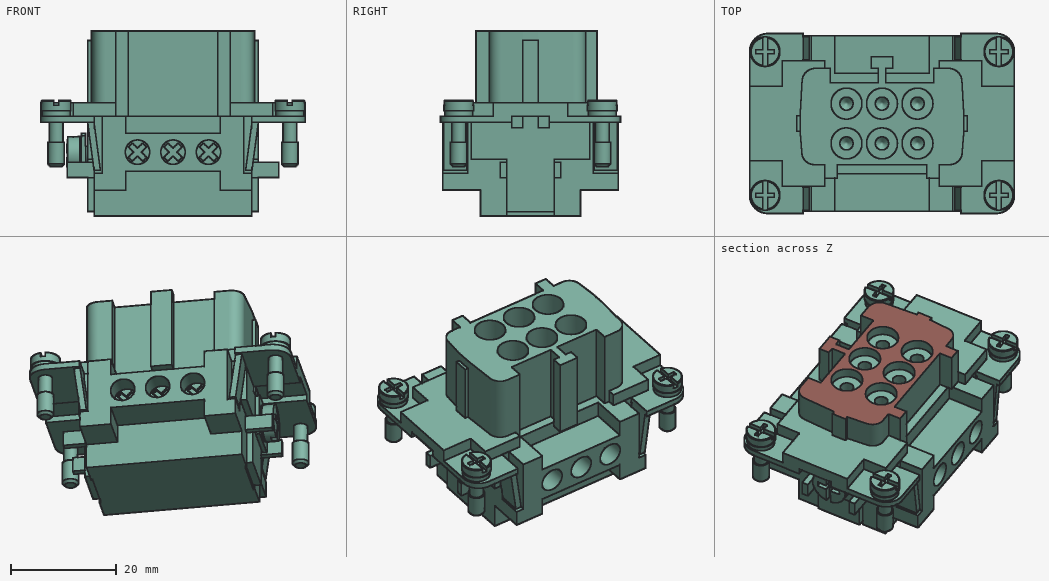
import cadquery as cq
import math

total_height = 35.0
deck_z = 18.9
flange_top_z = 21.45
step_z = 4.95

body_half_x = 14.9
body_half_y = 16.6
foot_half_y = 9.45
end_face_half_x = 16.1

window_half_x = 8.95
upper_window_z = 15.65
lower_window_z = 8.5

contact_pitch_x = 6.7
contact_row_y = 3.75
contact_bore_dia = 5.85
contact_bore_depth = 10.0
pin_hole_dia = 2.5
pin_hole_depth = 5.0
pin_tip_height = pin_hole_dia / 2

terminal_z = 12.1
terminal_dia = 4.6
terminal_depth = 4.0
terminal_slot_length = 3.8
terminal_slot_width = 1.05
terminal_slot_depth = 0.5

tower_back_y = 10.4
tower_front_y = -7.75
tower_end_half_x = 15.45
tower_corner_half_x = 14.95
tower_back_radius = 2.5
tower_front_radius = 2.3
tower_recess_half_x = 9.8
tower_recess_y = 7.7
rib_half_y = 1.45
rib_top_z = 33.2
leg_outer_x = 10.8
leg_inner_x = 8.4
leg_front_y = -10.3
key_stem_half_x = 0.75
key_head_half_x = 2.0
key_head_inner_y = 10.45
key_outer_y = 12.55

flange_half_x = 25.0
flange_waist_half_y = 7.05
flange_wing_half_x = 18.8
flange_wing_half_y = 11.85

plate_half_y = 17.0
plate_thickness = 1.2
plate_corner_radius = 3.5
plate_bottom_z = deck_z - plate_thickness
plate_notch_half_y = 3.5
panel_slot_z = 16.7
panel_half_y = 11.15
panel_bottom_z = 10.75
panel_tail_half_y = 4.5
panel_tail_z = 0.85
tail_recess_depth = 0.3

pocket_inner_x = 13.35
pocket_inner_y = 11.8
pocket_floor_z = 8.15
tongue_inner_y = 12.05
tongue_outer_y = 16.35
tongue_bottom_z = 8.65
tongue_lean = 1.2
tongue_thickness = 1.2

ear_inner_y = 4.5
ear_outer_y = 5.75
ear_end_x = 20.0
ear_bottom_z = 7.3
ear_top_z = 10.2

ground_z = 11.5
washer_side = 8.4
washer_chamfer = 0.5
washer_outer_x = 17.3
washer_thickness = 0.8
ground_head_dia = 7.1
ground_head_end_x = 19.85
ground_collar_dia = 6.9
ground_collar_length = 0.3
ground_shank_dia = 3.5
ground_dome_height = 0.25
ground_slot_width = 0.95
ground_short_slot_length = 4.7
ground_slot_depth = 1.25

screw_x = 22.05
screw_y = 13.55
screw_head_dia = 5.6
screw_collar_dia = 5.3
screw_collar_top_z = 19.95
screw_head_top_z = 21.85
screw_head_chamfer = 0.15
screw_neck_dia = 2.65
screw_thread_dia = 3.15
screw_thread_top_z = 14.0
screw_thread_bottom_z = 9.9
screw_tip_dia = 2.15
screw_tip_z = 9.35
screw_slot_floor_z = 20.95
screw_slot_width = 0.9
screw_short_slot_length = 3.5
screw_short_slot_width = 0.75

contact_columns = (-contact_pitch_x, 0, contact_pitch_x)
both_sides = (-1, 1)


def block(x0, x1, y0, y1, z0, z1):
    """Box between two opposite corners, given in either order."""
    size = (abs(x1 - x0), abs(y1 - y0), abs(z1 - z0))
    return cq.Workplane("XY").box(*size).translate(((x0 + x1) / 2, (y0 + y1) / 2, (z0 + z1) / 2))


def symmetric_block(half_x, half_y, z0, z1):
    return block(-half_x, half_x, -half_y, half_y, z0, z1)


def make_body():
    body = symmetric_block(body_half_x, foot_half_y, 0, deck_z)
    body = body.union(symmetric_block(body_half_x, body_half_y, step_z, deck_z))
    for side in both_sides:
        outer_y = side * body_half_y
        foot_y = side * foot_half_y
        window = (-window_half_x, window_half_x)
        body = body.cut(block(*window, foot_y, outer_y, upper_window_z, deck_z))
        body = body.cut(block(*window, foot_y, outer_y, step_z, lower_window_z))
        for end in both_sides:
            body = body.cut(block(end * pocket_inner_x, end * body_half_x,
                                  side * pocket_inner_y, outer_y, pocket_floor_z, deck_z))
    for end in both_sides:
        body = body.cut(block(end * (body_half_x - tail_recess_depth), end * body_half_x,
                              -panel_tail_half_y, panel_tail_half_y, 0, panel_tail_z))
    return body


def make_flange():
    waist = symmetric_block(flange_half_x, flange_waist_half_y, deck_z, flange_top_z)
    wings = symmetric_block(flange_wing_half_x, flange_wing_half_y, deck_z, flange_top_z)
    opening = symmetric_block(leg_outer_x, flange_wing_half_y, deck_z, flange_top_z)
    return waist.union(wings).cut(opening)


def make_tower():
    height = total_height - deck_z
    tower = (
        cq.Workplane("XY").workplane(offset=deck_z)
        .moveTo(-tower_corner_half_x, tower_front_y)
        .lineTo(tower_corner_half_x, tower_front_y)
        .lineTo(tower_end_half_x, -rib_half_y)
        .lineTo(tower_end_half_x, rib_half_y)
        .lineTo(tower_corner_half_x, tower_back_y)
        .lineTo(-tower_corner_half_x, tower_back_y)
        .lineTo(-tower_end_half_x, rib_half_y)
        .lineTo(-tower_end_half_x, -rib_half_y)
        .close().extrude(height)
    )
    tower = tower.edges("|Z and >Y").fillet(tower_back_radius)
    tower = tower.edges("|Z and <Y").fillet(tower_front_radius)
    tower = tower.cut(block(-tower_recess_half_x, tower_recess_half_x,
                            tower_recess_y, tower_back_y, deck_z, total_height))
    tower = tower.union(block(-key_stem_half_x, key_stem_half_x,
                              tower_recess_y, key_outer_y, deck_z, total_height))
    tower = tower.union(block(-key_head_half_x, key_head_half_x,
                              key_head_inner_y, key_outer_y, deck_z, total_height))
    for end in both_sides:
        tower = tower.union(block(end * leg_inner_x, end * leg_outer_x,
                                  leg_front_y, tower_front_y, deck_z, total_height))
    return tower.union(symmetric_block(end_face_half_x, rib_half_y, deck_z, rib_top_z))


def make_contact_holes():
    """Stepped holes with conical bottoms, as one cutting tool."""
    bore_floor_z = total_height - contact_bore_depth
    pin_floor_z = bore_floor_z - pin_hole_depth
    profile = (
        cq.Workplane("XZ").moveTo(0, total_height)
        .lineTo(contact_bore_dia / 2, total_height)
        .lineTo(contact_bore_dia / 2, bore_floor_z)
        .lineTo(pin_hole_dia / 2, bore_floor_z)
        .lineTo(pin_hole_dia / 2, pin_floor_z)
        .lineTo(0, pin_floor_z - pin_tip_height)
        .close()
    )
    hole = profile.revolve(360, (0, 0, 0), (0, 1, 0))
    holes = cq.Workplane("XY")
    for x in contact_columns:
        for side in both_sides:
            holes = holes.add(hole.translate((x, side * contact_row_y, 0)))
    return holes.combine()


def make_terminal_bores():
    """Side bores ending at a diagonal screwdriver cross, as one cutting tool."""
    floor_y = body_half_y - terminal_depth
    bore = cq.Workplane("XZ").circle(terminal_dia / 2).extrude(-terminal_depth)
    cross = cq.Workplane("XZ").rect(terminal_slot_length, terminal_slot_width).extrude(terminal_slot_depth)
    for angle in (45, -45):
        bore = bore.union(cross.rotate((0, 0, 0), (0, 1, 0), angle))
    bores = cq.Workplane("XY")
    for x in contact_columns:
        placed = bore.translate((x, floor_y, terminal_z))
        bores = bores.add(placed).add(placed.mirror("XZ"))
    return bores.combine()


def make_tongue():
    """Leaning tongue hanging from the end plate on the -X, +Y corner."""
    top_x = -body_half_x - tongue_thickness
    return (
        cq.Workplane("XZ").workplane(offset=-tongue_outer_y)
        .moveTo(top_x, plate_bottom_z)
        .lineTo(top_x + tongue_thickness, plate_bottom_z)
        .lineTo(top_x + tongue_thickness + tongue_lean, tongue_bottom_z)
        .lineTo(top_x + tongue_lean, tongue_bottom_z)
        .close().extrude(tongue_outer_y - tongue_inner_y)
    )


def make_end_plate():
    """Horizontal plate with its bent-down panel, tongues and ears, at the -X end."""
    panel_x = (-end_face_half_x, -body_half_x)
    plate = block(-flange_half_x, -body_half_x, -plate_half_y, plate_half_y, plate_bottom_z, deck_z)
    plate = plate.edges("|Z and <X").fillet(plate_corner_radius)
    plate = plate.cut(block(-flange_half_x, -end_face_half_x,
                            -plate_notch_half_y, plate_notch_half_y, plate_bottom_z, deck_z))
    plate = plate.union(block(*panel_x, -panel_half_y, panel_half_y, panel_bottom_z, deck_z))
    plate = plate.union(block(*panel_x, -panel_tail_half_y, panel_tail_half_y, panel_tail_z, deck_z))
    tongue = make_tongue()
    plate = plate.union(tongue).union(tongue.mirror("XZ"))
    for side in both_sides:
        plate = plate.cut(block(*panel_x, side * rib_half_y, side * plate_notch_half_y,
                                panel_slot_z, deck_z))
        plate = plate.union(block(-ear_end_x, -body_half_x, side * ear_inner_y, side * ear_outer_y,
                                  ear_bottom_z, ear_top_z))
    return plate


def make_fixing_screw():
    """Slotted fixing screw standing on the Z axis."""
    head_r = screw_head_dia / 2
    screw = (
        cq.Workplane("XZ").moveTo(0, screw_tip_z)
        .lineTo(screw_tip_dia / 2, screw_tip_z)
        .lineTo(screw_thread_dia / 2, screw_thread_bottom_z)
        .lineTo(screw_thread_dia / 2, screw_thread_top_z)
        .lineTo(screw_neck_dia / 2, screw_thread_top_z)
        .lineTo(screw_neck_dia / 2, deck_z)
        .lineTo(screw_collar_dia / 2, deck_z)
        .lineTo(screw_collar_dia / 2, screw_collar_top_z)
        .lineTo(head_r, screw_collar_top_z)
        .lineTo(head_r, screw_head_top_z - screw_head_chamfer)
        .lineTo(head_r - screw_head_chamfer, screw_head_top_z)
        .lineTo(0, screw_head_top_z)
        .close().revolve(360, (0, 0, 0), (0, 1, 0))
    )
    long_slot = symmetric_block(screw_slot_width / 2, head_r, screw_slot_floor_z, screw_head_top_z)
    short_slot = symmetric_block(screw_short_slot_length / 2, screw_short_slot_width / 2,
                                 screw_slot_floor_z, screw_head_top_z)
    return screw.cut(long_slot).cut(short_slot)


def make_ground_screw():
    """Domed cross-slot screw and square washer on the -X end panel."""
    axis_plane = cq.Workplane("YZ", origin=(0, 0, ground_z))
    washer = (
        axis_plane.workplane(offset=-washer_outer_x)
        .rect(washer_side, washer_side).extrude(washer_thickness)
        .edges("|X").chamfer(washer_chamfer)
    )
    shank = (
        axis_plane.workplane(offset=-washer_outer_x)
        .circle(ground_shank_dia / 2).extrude(washer_outer_x - body_half_x)
    )
    head_r = ground_head_dia / 2
    dome_x = -ground_head_end_x - ground_dome_height
    dome_radius = (head_r ** 2 + ground_dome_height ** 2) / (2 * ground_dome_height)
    half_angle = math.asin(head_r / dome_radius) / 2
    dome_middle = (dome_x + dome_radius * (1 - math.cos(half_angle)), dome_radius * math.sin(half_angle))
    collar_r = ground_collar_dia / 2
    head_seat_x = -washer_outer_x - ground_collar_length
    head = (
        cq.Workplane("XY").moveTo(-washer_outer_x, 0)
        .lineTo(-washer_outer_x, collar_r)
        .lineTo(head_seat_x, collar_r)
        .lineTo(head_seat_x, head_r)
        .lineTo(-ground_head_end_x, head_r)
        .threePointArc(dome_middle, (dome_x, 0))
        .close().revolve(360, (0, 0, 0), (1, 0, 0))
        .translate((0, 0, ground_z))
    )
    slot_x = (dome_x, dome_x + ground_slot_depth)
    long_slot = block(*slot_x, -ground_slot_width / 2, ground_slot_width / 2,
                      ground_z - head_r, ground_z + head_r)
    short_slot = block(*slot_x, -ground_short_slot_length / 2, ground_short_slot_length / 2,
                       ground_z - ground_slot_width / 2, ground_z + ground_slot_width / 2)
    head = head.cut(long_slot).cut(short_slot)
    return washer.union(shank).union(head)


result = make_body().union(make_flange()).union(make_tower())
result = result.cut(make_contact_holes()).cut(make_terminal_bores())

end_plate = make_end_plate()
result = result.union(end_plate).union(end_plate.mirror("YZ"))
fixing_screw = make_fixing_screw()
for end in both_sides:
    for side in both_sides:
        result = result.union(fixing_screw.translate((end * screw_x, side * screw_y, 0)))
result = result.union(make_ground_screw())